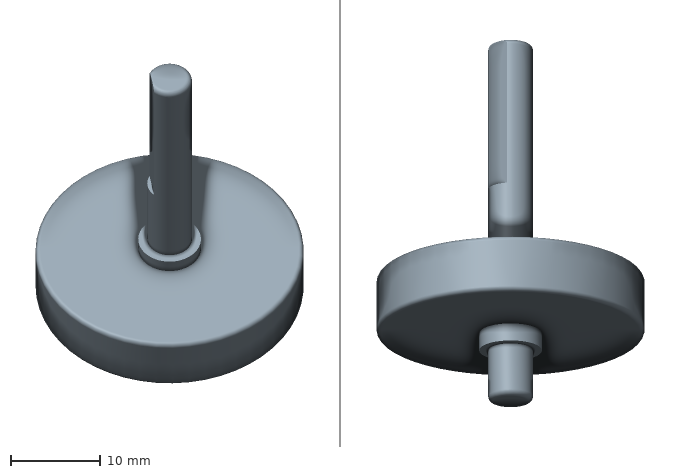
import cadquery as cq

total_height = 42.0
shaft_diameter = 5.0
shaft_edge = 0.6
hub_diameter = 7.0
hub_bottom = 6.0
hub_top = 16.0
disc_diameter = 30.0
disc_bottom = 8.02
disc_top = 14.5
disc_edge = 0.5
flat_bottom = 25.0
flat_offset = 2.0
flat_direction = 236.0


def cylinder(diameter, bottom, top):
    """Upright cylinder on the shaft axis."""
    return cq.Workplane("XY").workplane(offset=bottom).circle(diameter / 2).extrude(top - bottom)


def make_shaft():
    """Shaft with rounded ends and a drive flat at its upper end."""
    shaft = cylinder(shaft_diameter, 0, total_height).faces("<Z or >Z").edges().fillet(shaft_edge)
    flat_cutter = (
        cq.Workplane("XY")
        .box(shaft_diameter, shaft_diameter, total_height - flat_bottom, centered=(False, True, False))
        .translate((flat_offset, 0, flat_bottom))
        .rotate((0, 0, 0), (0, 0, 1), flat_direction)
    )
    return shaft.cut(flat_cutter)


disc = cylinder(disc_diameter, disc_bottom, disc_top).faces("<Z or >Z").edges().fillet(disc_edge)
hub = cylinder(hub_diameter, hub_bottom, hub_top)
result = disc.union(hub).union(make_shaft())